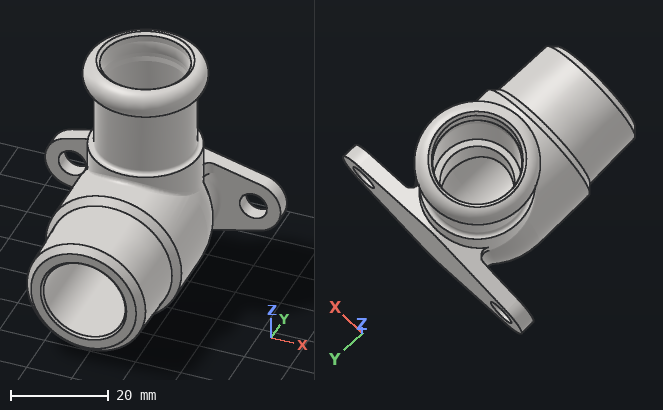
import cadquery as cq
import math


body_radius = 30.0 / 2
dome_center_y = -3.15
body_front_y = -17.55
spigot_root_y = -19.1
spigot_root_radius = 13.5
spigot_tip_radius = 13.1
spigot_chamfer = 1.5
run_end_y = -34.0

collar_radius = 23.8 / 2
collar_top_z = 17.0
tube_radius = 21.3 / 2
tube_root_fillet = 0.85
collar_body_fillet = 0.95
branch_top_z = 53 - body_radius
bead_radius = 12.95
bead_height = 6.5
bead_center_z = branch_top_z - bead_height / 2

plate_back_y = 13.0
plate_thickness = 3.5
plate_front_y = plate_back_y - plate_thickness
plate_center_radius = 10.85
ear_x = 20.0
ear_radius = 52.0 / 2 - ear_x
ear_hole_diameter = 6.0
plate_fillet = 1.85

run_bore_radius = 18 / 2
run_mouth_chamfer = 0.5
branch_bore_radius = 15.3 / 2
socket_radius = 18.3 / 2
lip_radius = 18.7 / 2
mouth_radius = 10.05
mouth_depth = 0.6
seal_center_z = branch_top_z - 3.45
seal_half_height = 1.45
seal_inner_radius = 9.1
land_height = 0.9
lead_in_height = 1.05


def revolve_about_y(outline):
    return outline.close().revolve(360, (0, 0, 0), (0, 1, 0))


def revolve_about_z(outline):
    return outline.close().revolve(360, (0, 0, 0), (0, 1, 0))


def make_run():
    dome_tip_y = dome_center_y + body_radius
    diagonal = body_radius * math.sqrt(0.5)
    outline = (
        cq.Workplane("XY")
        .moveTo(0, run_end_y)
        .lineTo(spigot_tip_radius - spigot_chamfer, run_end_y)
        .lineTo(spigot_tip_radius, run_end_y + spigot_chamfer)
        .lineTo(spigot_root_radius, spigot_root_y)
        .lineTo(body_radius, body_front_y)
        .lineTo(body_radius, dome_center_y)
        .threePointArc((diagonal, dome_center_y + diagonal), (0, dome_tip_y))
    )
    return revolve_about_y(outline)


def make_collar():
    return cq.Workplane("XY").circle(collar_radius).extrude(collar_top_z)


def make_tube():
    outline = (
        cq.Workplane("XZ")
        .lineTo(tube_radius + tube_root_fillet, 0)
        .lineTo(tube_radius + tube_root_fillet, collar_top_z)
        .radiusArc((tube_radius, collar_top_z + tube_root_fillet), tube_root_fillet)
        .lineTo(tube_radius, bead_center_z)
        .lineTo(0, bead_center_z)
    )
    return revolve_about_z(outline)


def make_bead():
    """Full-round bead running from the mouth edge down to the tube wall."""
    bottom_z = branch_top_z - bead_height
    outline = (
        cq.Workplane("XZ")
        .moveTo(0, bottom_z)
        .lineTo(mouth_radius, bottom_z)
        .threePointArc((bead_radius, bead_center_z), (mouth_radius, branch_top_z))
        .lineTo(0, branch_top_z)
    )
    return revolve_about_z(outline)


def plate_prism(front_y):
    """Plate outline: two ears joined by tangent lines to a central arc."""
    lean = math.asin((plate_center_radius - ear_radius) / ear_x)
    ear_tangent_x = ear_x + ear_radius * math.sin(lean)
    ear_tangent_z = ear_radius * math.cos(lean)
    center_tangent_x = plate_center_radius * math.sin(lean)
    center_tangent_z = plate_center_radius * math.cos(lean)
    return (
        cq.Workplane("XZ", origin=(0, plate_back_y, 0))
        .moveTo(-center_tangent_x, center_tangent_z)
        .threePointArc((0, plate_center_radius), (center_tangent_x, center_tangent_z))
        .lineTo(ear_tangent_x, ear_tangent_z)
        .threePointArc((ear_x + ear_radius, 0), (ear_tangent_x, -ear_tangent_z))
        .lineTo(center_tangent_x, -center_tangent_z)
        .threePointArc((0, -plate_center_radius), (-center_tangent_x, -center_tangent_z))
        .lineTo(-ear_tangent_x, -ear_tangent_z)
        .threePointArc((-ear_x - ear_radius, 0), (-ear_tangent_x, ear_tangent_z))
        .close()
        .extrude(plate_back_y - front_y)
    )


def make_dome_fillet():
    """Concave blend tangent to the dome and the plate, trimmed to the plate outline."""
    center_y = plate_front_y - plate_fillet
    center_distance = body_radius + plate_fillet
    rise = center_y - dome_center_y
    center_radius = math.sqrt(center_distance**2 - rise**2)
    dome_share = body_radius / center_distance
    dome_contact_y = dome_center_y + rise * dome_share
    outline = (
        cq.Workplane("XY")
        .moveTo(0, dome_contact_y)
        .lineTo(center_radius * dome_share, dome_contact_y)
        .radiusArc((center_radius, plate_front_y), plate_fillet)
        .lineTo(center_radius, plate_back_y)
        .lineTo(0, plate_back_y)
    )
    return revolve_about_y(outline).intersect(plate_prism(dome_contact_y))


def make_collar_fillet():
    """Concave upright blends tangent to the collar and the plate on both sides."""
    center_y = plate_front_y - plate_fillet
    center_distance = collar_radius + plate_fillet
    center_x = math.sqrt(center_distance**2 - center_y**2)
    collar_share = collar_radius / center_distance
    contact_x = center_x * collar_share
    contact_y = center_y * collar_share
    blends = (
        cq.Workplane("XY")
        .moveTo(-contact_x, contact_y)
        .lineTo(contact_x, contact_y)
        .radiusArc((center_x, plate_front_y), plate_fillet)
        .lineTo(-center_x, plate_front_y)
        .radiusArc((-contact_x, contact_y), plate_fillet)
        .close()
        .extrude(collar_top_z)
    )
    return blends.intersect(plate_prism(contact_y))


def make_run_bore():
    """Round-ended bore whose tip touches the far wall of the branch bore."""
    end_center_y = branch_bore_radius - run_bore_radius
    diagonal = run_bore_radius * math.sqrt(0.5)
    outline = (
        cq.Workplane("XY")
        .moveTo(0, run_end_y)
        .lineTo(run_bore_radius + run_mouth_chamfer, run_end_y)
        .lineTo(run_bore_radius, run_end_y + run_mouth_chamfer)
        .lineTo(run_bore_radius, end_center_y)
        .threePointArc((diagonal, end_center_y + diagonal), (0, branch_bore_radius))
    )
    return revolve_about_y(outline)


def make_branch_bore():
    """Stepped socket with a rounded seal ridge inside the bead."""
    seal_bottom_z = seal_center_z - seal_half_height
    land_bottom_z = seal_bottom_z - land_height
    outline = (
        cq.Workplane("XZ")
        .lineTo(branch_bore_radius, 0)
        .lineTo(branch_bore_radius, collar_top_z)
        .lineTo(socket_radius, collar_top_z)
        .lineTo(socket_radius, land_bottom_z - lead_in_height)
        .lineTo(lip_radius, land_bottom_z)
        .lineTo(lip_radius, seal_bottom_z)
        .threePointArc(
            (seal_inner_radius, seal_center_z),
            (lip_radius, seal_center_z + seal_half_height),
        )
        .lineTo(lip_radius, branch_top_z - mouth_depth)
        .lineTo(mouth_radius, branch_top_z)
        .lineTo(0, branch_top_z)
    )
    return revolve_about_z(outline)


def make_ear_holes():
    return (
        cq.Workplane("XZ", origin=(0, plate_back_y, 0))
        .pushPoints([(-ear_x, 0), (ear_x, 0)])
        .circle(ear_hole_diameter / 2)
        .extrude(plate_thickness)
    )


run_and_collar = make_run().union(make_collar())
crossing = run_and_collar.edges("%BSPLINE")
body = crossing.fillet(collar_body_fillet)
body = body.union(plate_prism(plate_front_y)).union(make_dome_fillet()).union(make_collar_fillet())
outside = body.union(make_tube()).union(make_bead())
result = outside.cut(make_run_bore()).cut(make_branch_bore()).cut(make_ear_holes())